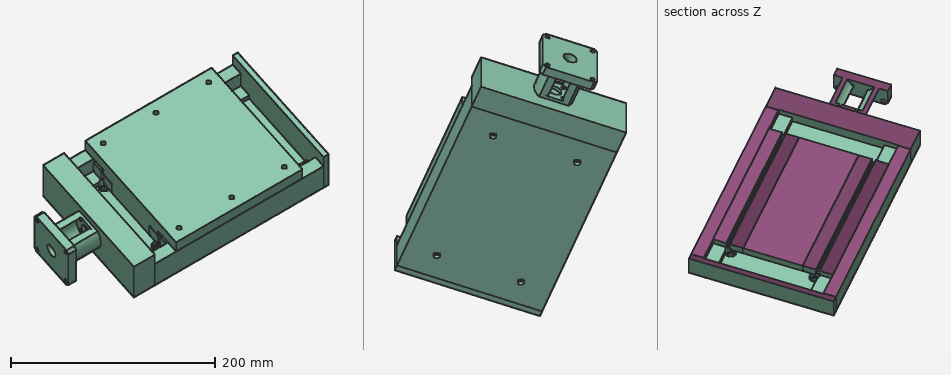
import cadquery as cq


width = 152.5
frame_height = 50.5
block_length = 25.5
end_plate_thickness = 6.2
base_height = 35.5

table_length = 152.5
table_gap = block_length
table_start = block_length + table_gap
table_center_y = table_start + table_length / 2
base_length = table_length + 2 * table_gap
base_end = block_length + base_length

rail_width = 13.7
rail_height = 14.8
rail_chamfer = 0.8
outer_rail_top = 30.2
inner_rail_top = 28.5
ledge_height = outer_rail_top - rail_height

channel_half_width = 62.6
floor_half_width = 48.5
outer_rail_center = channel_half_width - rail_width / 2
floor_height = 10.0
mount_hole_x = 44.2
mount_hole_pitch_y = 153.0
mount_hole_diameter = 6.7
counterbore_diameter = 10.5
counterbore_floor = 5.0

table_pad_half_width = 46.0
table_web_half_width = 31.5
inner_rail_center = table_web_half_width + rail_width / 2
table_hole_pitch = 63.5
table_hole_diameter = 5.0

axis_height = 28.5
flange_size = 2 * axis_height
flange_thickness = 9.5
flange_chamfer = 3.4
flange_hole_pitch = 47.3
flange_hole_diameter = 4.2
pilot_diameter = 13.7
tube_length = 35.2
tube_diameter = 41.5
tube_flat_top = axis_height + 13.7
tube_flat_bottom = axis_height - 14.0
tube_bore_diameter = 31.5
tube_end_wall = 3.4
tube_screw_pitch = 18.0
tube_screw_diameter = 4.2


def block(x_min, x_max, y_min, y_max, z_min, z_max):
    """Box between the given limits."""
    return cq.Workplane("XY").box(
        x_max - x_min, y_max - y_min, z_max - z_min, centered=False
    ).translate((x_min, y_min, z_min))


def centered_block(half_width, y_min, y_max, z_min, z_max):
    """Box symmetric about the YZ plane."""
    return block(-half_width, half_width, y_min, y_max, z_min, z_max)


def upright_holes(centers, diameter, z_min, z_max):
    """Vertical cylinders at the given XY points."""
    return (
        cq.Workplane("XY", origin=(0, 0, z_min))
        .pushPoints(centers)
        .circle(diameter / 2)
        .extrude(z_max - z_min)
    )


def motor_axis_plane(y):
    """Workplane facing -Y, centered on the motor axis."""
    return cq.Workplane("XZ", origin=(0, y, axis_height))


def make_base():
    base = centered_block(width / 2, block_length, base_end, 0, base_height)
    channel = centered_block(channel_half_width, block_length, base_end, ledge_height, base_height)
    floor = centered_block(floor_half_width, block_length, base_end, floor_height, base_height)
    hole_centers = [
        (side * mount_hole_x, table_center_y + end * mount_hole_pitch_y / 2)
        for side in (-1, 1)
        for end in (-1, 1)
    ]
    holes = upright_holes(hole_centers, mount_hole_diameter, 0, base_height)
    counterbores = upright_holes(hole_centers, counterbore_diameter, counterbore_floor, base_height)
    return base.cut(channel).cut(floor).cut(holes).cut(counterbores)


def make_table():
    table_end = table_start + table_length
    plate = centered_block(width / 2, table_start, table_end, base_height, frame_height)
    pad = centered_block(table_pad_half_width, table_start, table_end, inner_rail_top, base_height)
    web_bottom = inner_rail_top - rail_height
    web = centered_block(table_web_half_width, table_start, table_end, web_bottom, inner_rail_top)
    hole_centers = [
        (side * table_hole_pitch, table_center_y + row * table_hole_pitch)
        for side in (-1, 1)
        for row in (-1, 0, 1)
    ]
    holes = upright_holes(hole_centers, table_hole_diameter, base_height, frame_height)
    return plate.union(pad).union(web).cut(holes)


def make_rail(center_x, top):
    """Straight rail with its four long edges chamfered."""
    return (
        cq.Workplane("XY")
        .box(rail_width, table_length, rail_height)
        .edges("|Y")
        .chamfer(rail_chamfer)
        .translate((center_x, table_center_y, top - rail_height / 2))
    )


def make_motor_mount():
    tube = motor_axis_plane(0).circle(tube_diameter / 2).extrude(tube_length)
    flat_limits = centered_block(tube_diameter, -tube_length, 0, tube_flat_bottom, tube_flat_top)
    tube = tube.intersect(flat_limits)

    bore = (
        motor_axis_plane(-tube_end_wall)
        .circle(tube_bore_diameter / 2)
        .extrude(tube_length - tube_end_wall)
    )
    end_wall_screws = (
        motor_axis_plane(0)
        .rect(tube_screw_pitch, tube_screw_pitch, forConstruction=True)
        .vertices()
        .circle(tube_screw_diameter / 2)
        .extrude(tube_end_wall)
    )

    flange = (
        motor_axis_plane(-tube_length)
        .rect(flange_size, flange_size)
        .extrude(flange_thickness)
        .edges("|Y")
        .chamfer(flange_chamfer)
    )
    flange_holes = (
        motor_axis_plane(-tube_length)
        .rect(flange_hole_pitch, flange_hole_pitch, forConstruction=True)
        .vertices()
        .circle(flange_hole_diameter / 2)
        .extrude(flange_thickness)
    )
    pilot = motor_axis_plane(0).circle(pilot_diameter / 2).extrude(tube_length + flange_thickness)

    return tube.cut(bore).cut(end_wall_screws).union(flange.cut(flange_holes)).cut(pilot)


base = make_base()
front_block = centered_block(width / 2, 0, block_length, 0, frame_height)
end_plate = centered_block(width / 2, base_end, base_end + end_plate_thickness, 0, frame_height)
table = make_table()
motor_mount = make_motor_mount()

outer_rails = []
inner_rails = []
for side in (-1, 1):
    outer_rails.append(make_rail(side * outer_rail_center, outer_rail_top))
    inner_rails.append(make_rail(side * inner_rail_center, inner_rail_top))

result = cq.Compound.makeCompound([
    base.val(),
    front_block.val(),
    end_plate.val(),
    table.val(),
    motor_mount.val(),
    *[rail.val() for rail in outer_rails],
    *[rail.val() for rail in inner_rails],
])